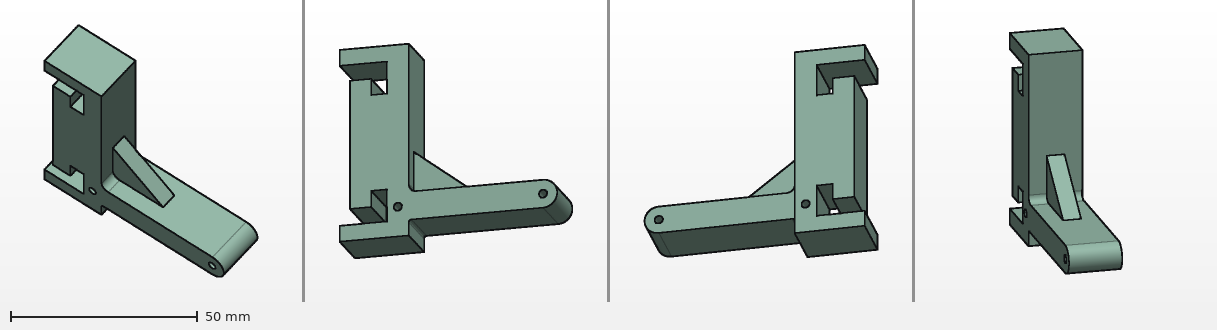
import cadquery as cq

width = 15.0
height = 54.0
jaw_thickness = 4.5
back_inner_x = 13.2
back_outer_x = 19.3

block_front_x = 2.85
block_rear_x = 8.8
jaw_gap = 4.5
undercut_depth = 4.55
block_bottom = jaw_thickness + jaw_gap
neck_bottom = block_bottom + undercut_depth

length = 60.65
arm_radius = 3.95
arm_rear_setback = 0.2
arm_width = width - arm_rear_setback
arm_axis_z = 8.35
arm_top = arm_axis_z + arm_radius
arm_bottom = arm_axis_z - arm_radius
arm_end_x = length - arm_radius
hole_diameter = 2.25
hole_spacing = 40.45
upper_fillet = 2.2
lower_fillet = 0.7

gusset_width = 5.0
gusset_top = 25.1
gusset_end_x = 36.25


def centred_prism(sketch, depth):
    """Extrude an XZ outline symmetrically about the Y = 0 plane."""
    return sketch.extrude(depth / 2, both=True)


def make_clamp():
    outline = cq.Workplane("XZ").polyline([
        (0, 0),
        (back_outer_x, 0),
        (back_outer_x, height),
        (0, height),
        (0, height - jaw_thickness),
        (back_inner_x, height - jaw_thickness),
        (back_inner_x, height - neck_bottom),
        (block_rear_x, height - neck_bottom),
        (block_rear_x, height - block_bottom),
        (block_front_x, height - block_bottom),
        (block_front_x, block_bottom),
        (block_rear_x, block_bottom),
        (block_rear_x, neck_bottom),
        (back_inner_x, neck_bottom),
        (back_inner_x, jaw_thickness),
        (0, jaw_thickness),
    ]).close()
    return centred_prism(outline, width)


def make_arm():
    """Round-ended arm with filleted roots, flush with the clamp on the -Y side."""
    outline = (
        cq.Workplane("XZ")
        .moveTo(back_outer_x, arm_bottom - lower_fillet)
        .radiusArc((back_outer_x + lower_fillet, arm_bottom), lower_fillet)
        .lineTo(arm_end_x, arm_bottom)
        .threePointArc((length, arm_axis_z), (arm_end_x, arm_top))
        .lineTo(back_outer_x + upper_fillet, arm_top)
        .radiusArc((back_outer_x, arm_top + upper_fillet), upper_fillet)
        .close()
    )
    return centred_prism(outline, arm_width).translate((0, -arm_rear_setback / 2, 0))


def make_gusset():
    outline = cq.Workplane("XZ").polyline([
        (back_outer_x, arm_top),
        (gusset_end_x, arm_top),
        (back_outer_x, gusset_top),
    ]).close()
    return centred_prism(outline, gusset_width)


def make_pin_holes():
    holes = (
        cq.Workplane("XZ")
        .pushPoints([(arm_end_x - hole_spacing, arm_axis_z), (arm_end_x, arm_axis_z)])
        .circle(hole_diameter / 2)
    )
    return centred_prism(holes, width)


result = make_clamp().union(make_arm()).union(make_gusset()).cut(make_pin_holes())